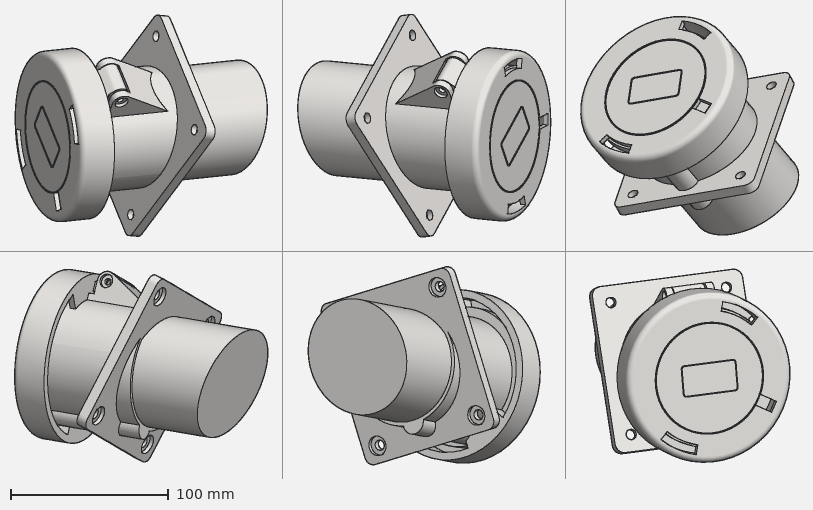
import cadquery as cq
import math

TILT = 15.0

LID_DIAMETER = 109.0
LID_RADIUS = LID_DIAMETER / 2
LID_DEPTH = 22.7
LID_FILLET = 3.9
LID_PLATE = 3.6
CAVITY_RADIUS = 49.5
SEAL_RADIUS = 44.7
SEAL_THICKNESS = 7.4
DISC_RADIUS = 35.9
DISC_GROOVE = 0.6
LABEL_RIM = 0.5
LABEL_WIDTH = 36.4
LABEL_HEIGHT = 20.2
LABEL_CORNER = 2.2

SLOT_INNER_RADIUS = 43.3
SLOT_SWEEP = 30.0
SLOT_ANGLES = (60.0, 240.0)
NOTCH_OUTER_RADIUS = 47.3
NOTCH_WIDTH = 7.5
NOTCH_ANGLE = -30.0

LUG_OUTER_RADIUS = 51.7
LUGS = ((42.0, 78.0, 18.8), (228.0, 266.0, 9.4))

BODY_RADIUS = 38.4
BODY_LENGTH = 53.5
SLEEVE_RADIUS = 36.0
SLEEVE_LENGTH = 106.6
KEY_RADIUS = 7.8
KEY_HEIGHT = -37.0

FLANGE_STATION = -46.4
FLANGE_WIDTH = 100.0
FLANGE_HEIGHT = 106.9
FLANGE_THICKNESS = 7.0
FLANGE_SHIFT = 0.8
FLANGE_CORNER = 6.0
BOLT_SPACING_X = 77.0
BOLT_SPACING_Z = 85.0
BOLT_HOLE = 6.6
BOLT_COUNTERBORE = 12.5
BOLT_SEAT = 4.2

PIN_STATION = -10.0
PIN_HEIGHT = 49.0
EYE_RADIUS = 6.3
PIN_HOLE = 4.2
PIN_COUNTERBORE = 8.8
PIN_COUNTERBORE_DEPTH = 2.4
BRACKET_WIDTH = 31.8
BRACKET_REAR_STATION = -45.8
BRACKET_STEP_HEIGHT = 39.5
HINGE_GAP_WIDTH = 22.1
HINGE_GAP_RADIUS = 7.4
TONGUE_WIDTH = 21.3
BARREL_RIGHT = 9.9
TONGUE_BOTTOM = 42.0
TONGUE_TOP_AT_LID = 48.3

PLATE_REAR = LID_DEPTH - LID_PLATE
SEAL_REAR = PLATE_REAR - SEAL_THICKNESS


def plane_at(station):
    """Plane across the plug axis; positive extrusion runs forward."""
    return cq.Workplane("XZ", origin=(0, -station, 0))


def rod(radius, rear, front):
    return plane_at(rear).circle(radius).extrude(front - rear)


def tangent_point(station, height, side):
    """Point of the hinge eye touched by a line from (station, height); side picks which tangent."""
    reach = math.hypot(station - PIN_STATION, height - PIN_HEIGHT)
    bearing = math.atan2(height - PIN_HEIGHT, station - PIN_STATION)
    angle = bearing + side * math.acos(EYE_RADIUS / reach)
    return PIN_STATION + EYE_RADIUS * math.cos(angle), PIN_HEIGHT + EYE_RADIUS * math.sin(angle)


def side_profile(points, left, right):
    """Prism across X from an outline of (station, height) points."""
    outline = [(-station, height) for station, height in points]
    return cq.Workplane("YZ", origin=(left, 0, 0)).polyline(outline).close().extrude(right - left)


def cross_rod(radius, left, right):
    """Cylinder on the hinge pin axis."""
    section = cq.Workplane("YZ", origin=(left, -PIN_STATION, PIN_HEIGHT)).circle(radius)
    return section.extrude(right - left)


def make_lid():
    """Hollow lid; the arc slots are where the cavity breaks out through the face plate."""
    plate = rod(LID_RADIUS, PLATE_REAR, LID_DEPTH)
    for slot_angle in SLOT_ANGLES:
        plate = plate.cut(make_slot(slot_angle))
    hollow = rod(CAVITY_RADIUS, 0, LID_DEPTH).cut(plate)
    lid = rod(LID_RADIUS, 0, LID_DEPTH).faces("<Y").edges().fillet(LID_FILLET)
    return lid.cut(hollow).cut(make_notch())


def mark_face(lid):
    """Engrave the ring around the centre disc and raise the label frame."""
    ring = plane_at(LID_DEPTH).circle(DISC_RADIUS).circle(DISC_RADIUS - DISC_GROOVE).extrude(-DISC_GROOVE)
    frame = label_block(LABEL_WIDTH, LABEL_HEIGHT, LABEL_CORNER)
    opening = label_block(
        LABEL_WIDTH - 2 * LABEL_RIM, LABEL_HEIGHT - 2 * LABEL_RIM, LABEL_CORNER - LABEL_RIM
    )
    return lid.cut(ring).union(frame.cut(opening))


def label_block(width, height, corner):
    return plane_at(LID_DEPTH).rect(width, height).extrude(LABEL_RIM).edges("|Y").fillet(corner)


def ring_sector(inner, outer, start_angle, end_angle, rear, front):
    """Part of a ring around the plug axis; angles run from +X toward +Z."""

    def polar(radius, angle):
        return radius * math.cos(math.radians(angle)), radius * math.sin(math.radians(angle))

    middle_angle = (start_angle + end_angle) / 2
    return (
        plane_at(rear)
        .moveTo(*polar(inner, start_angle))
        .threePointArc(polar(inner, middle_angle), polar(inner, end_angle))
        .lineTo(*polar(outer, end_angle))
        .threePointArc(polar(outer, middle_angle), polar(outer, start_angle))
        .close()
        .extrude(front - rear)
    )


def make_slot(middle_angle):
    """Sector that opens the plate from the slot's inner edge out past the cavity wall."""
    start_angle = middle_angle - SLOT_SWEEP / 2
    return ring_sector(
        SLOT_INNER_RADIUS, LID_RADIUS, start_angle, start_angle + SLOT_SWEEP, PLATE_REAR, LID_DEPTH
    )


def make_lug(start_angle, end_angle, depth):
    """Lug from the body out to the lid rim, filling the cavity back to the lid's rear."""
    return ring_sector(SLEEVE_RADIUS, LUG_OUTER_RADIUS, start_angle, end_angle, 0, LID_DEPTH - depth)


def make_notch():
    """Square opening beside the centre disc, down to the seal disc."""
    length = NOTCH_OUTER_RADIUS
    block = plane_at(LID_DEPTH).center(length / 2, 0).rect(length, NOTCH_WIDTH).extrude(-LID_PLATE)
    block = block.rotate((0, 0, 0), (0, -1, 0), NOTCH_ANGLE)
    return block.cut(rod(DISC_RADIUS, 0, LID_DEPTH))


def tilted_block(block, station):
    """Tilt a block built around the origin and move it to a station on the axis."""
    return block.rotate((0, 0, 0), (1, 0, 0), -TILT).translate((0, -station, 0))


def make_flange():
    """Square plate whose bolt holes are counterbored from the rear."""
    flange = (
        cq.Workplane("XZ", origin=(0, FLANGE_THICKNESS / 2, FLANGE_SHIFT))
        .rect(FLANGE_WIDTH, FLANGE_HEIGHT)
        .extrude(FLANGE_THICKNESS)
        .edges("|Y")
        .fillet(FLANGE_CORNER)
        .faces(">Y")
        .workplane(centerOption="CenterOfBoundBox")
        .rect(BOLT_SPACING_X, BOLT_SPACING_Z, forConstruction=True)
        .vertices()
        .cboreHole(BOLT_HOLE, BOLT_COUNTERBORE, FLANGE_THICKNESS - BOLT_SEAT)
    )
    return tilted_block(flange, FLANGE_STATION)


def make_sleeve():
    overrun = SLEEVE_RADIUS
    sleeve = rod(SLEEVE_RADIUS, -SLEEVE_LENGTH - overrun, -BODY_LENGTH)
    cutter_size = 4 * SLEEVE_RADIUS
    cutter = cq.Workplane("XZ").rect(cutter_size, cutter_size).extrude(-2 * overrun)
    return sleeve.cut(tilted_block(cutter, -SLEEVE_LENGTH))


def make_bracket():
    half = BRACKET_WIDTH / 2
    foot = math.sqrt(BODY_RADIUS**2 - half**2)
    eye_front = PIN_STATION + EYE_RADIUS
    outline = [
        (BRACKET_REAR_STATION, foot),
        tangent_point(BRACKET_REAR_STATION, foot, -1),
        (PIN_STATION, PIN_HEIGHT),
        (eye_front, PIN_HEIGHT),
        (eye_front, BRACKET_STEP_HEIGHT),
        (0, BRACKET_STEP_HEIGHT),
        (0, 0),
        (BRACKET_REAR_STATION, 0),
    ]
    gap_half = HINGE_GAP_WIDTH / 2
    gap_rear = PIN_STATION - HINGE_GAP_RADIUS
    gap_outline = [
        (gap_rear, PIN_HEIGHT),
        (gap_rear, BRACKET_STEP_HEIGHT),
        (0, BRACKET_STEP_HEIGHT),
        (0, PIN_HEIGHT),
    ]
    bracket = side_profile(outline, -half, half).union(cross_rod(EYE_RADIUS, -half, half))
    bracket = bracket.cut(side_profile(gap_outline, -gap_half, gap_half))
    return bracket.cut(cross_rod(HINGE_GAP_RADIUS, -gap_half, gap_half))


def make_tongue():
    outline = [
        (PIN_STATION, PIN_HEIGHT),
        tangent_point(0, TONGUE_TOP_AT_LID, 1),
        (0, TONGUE_TOP_AT_LID),
        (PLATE_REAR, TONGUE_TOP_AT_LID),
        (PLATE_REAR, TONGUE_BOTTOM),
        (PIN_STATION, TONGUE_BOTTOM),
    ]
    half = TONGUE_WIDTH / 2
    clearance = cross_rod(HINGE_GAP_RADIUS, BARREL_RIGHT, half)
    tongue = side_profile(outline, -half, half).cut(clearance)
    return tongue.union(cross_rod(EYE_RADIUS, -half, BARREL_RIGHT))


def pin_holes():
    half = BRACKET_WIDTH / 2
    inset = half - PIN_COUNTERBORE_DEPTH
    holes = cross_rod(PIN_HOLE / 2, -half, half)
    holes = holes.union(cross_rod(PIN_COUNTERBORE / 2, -half, -inset))
    return holes.union(cross_rod(PIN_COUNTERBORE / 2, inset, half))


lid = mark_face(make_lid())
for lug in LUGS:
    lid = lid.union(make_lug(*lug))

seal = rod(SEAL_RADIUS, SEAL_REAR, PLATE_REAR)
body = rod(BODY_RADIUS, -BODY_LENGTH, SEAL_REAR)
key = rod(KEY_RADIUS, -BODY_LENGTH, SEAL_REAR).translate((0, 0, KEY_HEIGHT))

plug = lid.union(seal).union(body).union(key).union(make_sleeve()).union(make_flange())
plug = plug.union(make_bracket()).union(make_tongue()).cut(pin_holes())
result = plug.rotate((0, 0, 0), (1, 0, 0), -TILT)